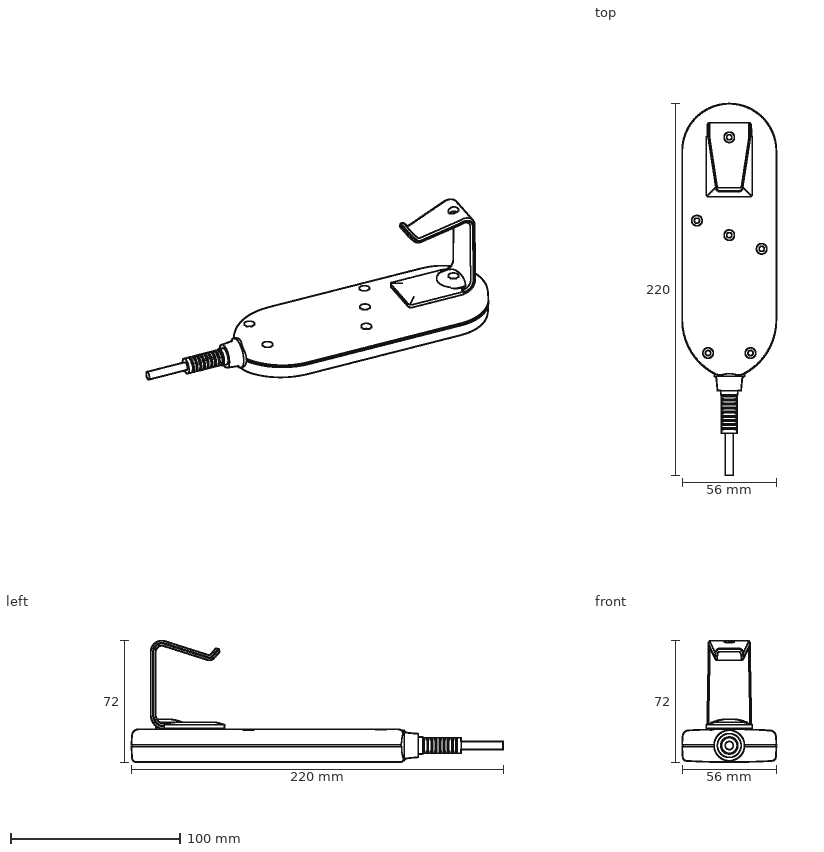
import cadquery as cq
import math


margin = 2.2

overall_length = 220.0
half_width = 28.0
housing_top = 9.7
housing_bottom = -10.0
straight_end_y = -100.4
nose_radius = 35.9
nose_tip_radius = 21.0
crown_radius = 440.2
side_draft = 3.0
top_edge_fillet = 4.0
bottom_edge_fillet = 2.6
seam_top = 0.5
seam_bottom = -0.9
seam_depth = 0.5

collar_start_y = -127.7
collar_end_y = -142.0
collar_root_radius = 7.7
collar_tip_radius = 7.0
collar_flare = 1.3
flare_end_y = -135.0
flange_radius = 5.0
flange_end_y = -144.4
sleeve_radius = 4.6
sleeve_end_y = -167.3
groove_radius = 3.3
groove_width = 0.9
groove_pitch = 2.5
groove_count = 9
first_groove_y = -145.0
cable_radius = 2.5
cable_end_y = half_width - overall_length

plate_half_width = 13.6
plate_front_y = -27.3
plate_back_y = 8.4
plate_base_z = 9.5
plate_top_z = 13.9
plate_bevel_width = 5.5
plate_bevel_height = 1.5
plate_corner_radius = 1.8
strip_thickness = 3.0
strip_bevel_width = 0.9
strip_bevel_height = 1.3
strip_foot_half_width = 13.2
strip_top_half_width = 12.3
foot_bend_radius = 6.8
crest_bend_radius = 5.0
hook_bend_radius = 2.2
long_edge_length = 22.0
upright_y = 15.0
upright_top_z = 55.5
foot_z = 11.2
foot_end_y = 7.7
arm_slope = 17.7
hook_slope = 49.0
hook_corner_y = -19.0
hook_tip_y = -23.8
hook_tip_half_width = 7.5
hook_corner_radius = 2.2
overall_top = 62.0
arm_taper_start_y = 6.5
arm_kink_radius = 11.0

dome_top = 15.8
dome_sphere_radius = 26.5
dome_radius = 10.5
dome_back_y = 13.5
bracket_screw_y = 8.0
screw_points = [(-19.1, -41.4), (0, -50.0), (19.1, -58.0), (-12.5, -119.7), (12.5, -119.7)]
counterbore_radius = 3.0
counterbore_depth = 4.0
screw_hole_radius = 1.5
screw_hole_depth = 6.5


def housing_outline(z, inset=0.0):
    """Plan outline: round tail, straight sides, and a nose of two large arcs joined by a tip arc."""
    side = half_width - inset
    flank_radius = nose_radius - inset
    tip_radius = nose_tip_radius - inset
    flank_x = half_width - nose_radius
    join_angle = math.acos(-flank_x / (nose_radius - nose_tip_radius))
    tip_center_y = straight_end_y - (nose_radius - nose_tip_radius) * math.sin(join_angle)

    def flank_point(angle):
        x = flank_x + flank_radius * math.cos(angle)
        return x, straight_end_y - flank_radius * math.sin(angle)

    mid_x, mid_y = flank_point(join_angle / 2)
    join_x, join_y = flank_point(join_angle)
    return (
        cq.Workplane("XY", origin=(0, 0, z))
        .moveTo(side, 0)
        .threePointArc((0, side), (-side, 0))
        .lineTo(-side, straight_end_y)
        .threePointArc((-mid_x, mid_y), (-join_x, join_y))
        .threePointArc((0, tip_center_y - tip_radius), (join_x, join_y))
        .threePointArc((mid_x, mid_y), (side, straight_end_y))
        .close()
    )


def crown_profile():
    """Cross-section bounded by the slightly domed top and bottom faces."""
    reach = half_width + margin
    sag = crown_radius - math.sqrt(crown_radius**2 - reach**2)
    return (
        cq.Workplane("XZ")
        .moveTo(-reach, housing_top - sag)
        .threePointArc((0, housing_top), (reach, housing_top - sag))
        .lineTo(reach, housing_bottom + sag)
        .threePointArc((0, housing_bottom), (-reach, housing_bottom + sag))
        .close()
        .extrude(overall_length, both=True)
    )


def make_housing():
    """Drafted upper and lower shells, parted by a shallow groove all round."""
    crown = crown_profile()
    upper = housing_outline(seam_top).extrude(housing_top, taper=side_draft)
    upper = upper.intersect(crown).faces(">Z").edges().fillet(top_edge_fillet)
    lower = housing_outline(seam_bottom).extrude(housing_bottom, taper=side_draft)
    lower = lower.intersect(crown).faces("<Z").edges().fillet(bottom_edge_fillet)
    core = housing_outline(seam_bottom, seam_depth).extrude(seam_top - seam_bottom)
    return upper.union(core).union(lower)


def cylinder_y(radius, start_y, end_y):
    """Cylinder on the cable axis, running toward -Y."""
    return cq.Workplane("XZ", origin=(0, start_y, 0)).circle(radius).extrude(start_y - end_y)


def make_collar():
    """Tapered collar that flares where it leaves the nose."""
    flare_radius = collar_root_radius + collar_flare
    return (
        cq.Workplane("XY")
        .moveTo(0, collar_start_y)
        .lineTo(flare_radius, collar_start_y)
        .lineTo(flare_radius, flare_end_y + collar_flare)
        .radiusArc((collar_root_radius, flare_end_y), -collar_flare)
        .lineTo(collar_tip_radius, collar_end_y)
        .lineTo(0, collar_end_y)
        .close()
        .revolve(360, (0, 0), (0, 1))
    )


def make_cable():
    """Ribbed strain-relief sleeve with the plain cable leaving it."""
    sleeve = cylinder_y(flange_radius, collar_end_y + margin, flange_end_y)
    sleeve = sleeve.union(cylinder_y(sleeve_radius, collar_end_y, sleeve_end_y))
    for i in range(groove_count):
        start_y = first_groove_y - i * groove_pitch + groove_width / 2
        end_y = start_y - groove_width
        ring = cylinder_y(2 * sleeve_radius, start_y, end_y)
        sleeve = sleeve.cut(ring.cut(cylinder_y(groove_radius, start_y, end_y)))
    return sleeve.union(cylinder_y(cable_radius, collar_end_y, cable_end_y))


def plate_block():
    """Plain rectangular blank of the bracket foot."""
    height = plate_top_z - plate_base_z
    length = plate_back_y - plate_front_y
    center = (0, (plate_front_y + plate_back_y) / 2, plate_base_z)
    return cq.Workplane("XY", origin=center).rect(2 * plate_half_width, length).extrude(height)


def make_plate():
    """Bracket foot with a bevelled top and an undercut rim; its back edge runs into the bent strip."""
    bevelled = plate_block().faces(">Z").edges("not >Y").chamfer(plate_bevel_height, plate_bevel_width)
    rounded = plate_block().edges("|Z and <Y").fillet(plate_corner_radius)
    rounded = rounded.faces("<Z").edges("not >Y").chamfer(strip_bevel_height, strip_bevel_width)
    return bevelled.intersect(rounded)


def strip_corners():
    """Corner points (y, z) of the strip's mid-surface before its bends are rounded."""
    slope = math.tan(math.radians(arm_slope))
    half_turn = math.radians((90 + arm_slope) / 2)
    crest_z = overall_top - strip_thickness / 2
    top_z = crest_z + crest_bend_radius * (math.tan(half_turn) - 1)
    hook_z = top_z - slope * (upright_y - hook_corner_y)
    tip_z = hook_z + (hook_corner_y - hook_tip_y) * math.tan(math.radians(hook_slope))
    return [
        cq.Vector(foot_end_y, foot_z),
        cq.Vector(upright_y, foot_z),
        cq.Vector(upright_y, top_z),
        cq.Vector(hook_corner_y, hook_z),
        cq.Vector(hook_tip_y, tip_z),
    ]


def strip_bends(offset):
    """Arcs (start, middle, end) of each bend on the strip face at this offset from the mid-surface."""
    points = strip_corners()
    bends = [(foot_bend_radius, 1), (crest_bend_radius, 1), (hook_bend_radius, -1)]
    arcs = []
    for i, (mid_radius, turn) in enumerate(bends, start=1):
        back = (points[i - 1] - points[i]).normalized()
        ahead = (points[i + 1] - points[i]).normalized()
        half_angle = back.getAngle(ahead) / 2
        bisector = (back + ahead).normalized()
        center = points[i] + bisector * (mid_radius / math.sin(half_angle))
        tangent_length = mid_radius / math.tan(half_angle)
        radius = mid_radius + turn * offset
        start = center + (points[i] + back * tangent_length - center) * (radius / mid_radius)
        end = center + (points[i] + ahead * tangent_length - center) * (radius / mid_radius)
        arcs.append((start, center - bisector * radius, end))
    return arcs


def strip_side_profile():
    """Closed strip outline in the YZ plane, with concentric bends and square ends."""
    points = strip_corners()
    half = strip_thickness / 2
    hook = (points[-1] - points[-2]).normalized()
    across_tip = cq.Vector(hook.y, -hook.x) * half
    profile = cq.Workplane("YZ").moveTo(foot_end_y, foot_z - half)
    for start, middle, end in strip_bends(half):
        profile = profile.lineTo(start.x, start.y).threePointArc((middle.x, middle.y), (end.x, end.y))
    for corner in (points[-1] + across_tip, points[-1] - across_tip):
        profile = profile.lineTo(corner.x, corner.y)
    for start, middle, end in reversed(strip_bends(-half)):
        profile = profile.lineTo(end.x, end.y).threePointArc((middle.x, middle.y), (start.x, start.y))
    return profile.lineTo(foot_end_y, foot_z + half).close()


def make_strip():
    """Bent strip: narrows up the upright, then tapers to the hook tip, with bevelled long edges."""
    strip = strip_side_profile().extrude(strip_foot_half_width, both=True)
    front_outline = (
        cq.Workplane("XZ")
        .polyline(
            [
                (-strip_foot_half_width, housing_top),
                (strip_foot_half_width, housing_top),
                (strip_top_half_width, upright_top_z),
                (strip_top_half_width, overall_top),
                (-strip_top_half_width, overall_top),
                (-strip_top_half_width, upright_top_z),
            ]
        )
        .close()
        .extrude(2 * half_width, both=True)
    )
    strip = strip.intersect(front_outline)
    tip_y = strip.val().BoundingBox().ymin
    mid_z = (foot_z + overall_top) / 2
    for side in (-1, 1):
        trim = (
            cq.Workplane("XY", origin=(0, 0, mid_z))
            .polyline(
                [
                    (side * strip_top_half_width, arm_taper_start_y),
                    (side * hook_tip_half_width, tip_y),
                    (side * hook_tip_half_width, tip_y - margin),
                    (side * half_width, tip_y - margin),
                    (side * half_width, arm_taper_start_y),
                ]
            )
            .close()
            .extrude(overall_top - mid_z)
        )
        strip = strip.cut(trim)

    def cross_edges(y):
        """Edges across the strip's thickness at the given y."""
        length_limit = strip_thickness + strip_bevel_width
        across = strip.edges("not |X").filter(lambda edge: edge.Length() < length_limit)
        return across.filter(lambda edge: math.isclose(edge.Center().y, y, abs_tol=0.1))

    strip = cross_edges(arm_taper_start_y).fillet(arm_kink_radius)
    strip = cross_edges(hook_tip_y).fillet(hook_corner_radius)
    long_edges = strip.edges("not |X").filter(lambda edge: edge.Length() > long_edge_length)
    return long_edges.chamfer(strip_bevel_height, strip_bevel_width)


def make_dome():
    """Shallow spherical cap around the bracket screw, ending inside the lower bend."""
    dome = cq.Workplane("XY", origin=(0, bracket_screw_y, plate_base_z)).circle(dome_radius)
    dome = dome.extrude(dome_top - plate_base_z)
    ball = cq.Workplane("XY", origin=(0, bracket_screw_y, dome_top - dome_sphere_radius))
    dome = dome.intersect(ball.sphere(dome_sphere_radius))
    behind = cq.Workplane("XZ", origin=(0, dome_back_y, 0)).rect(4 * half_width, 4 * half_width)
    return dome.cut(behind.extrude(-half_width))


def screw_hole(x, y, top_z):
    """Counterbored blind hole, open upward from top_z."""
    hole = cq.Workplane("XY", origin=(x, y, top_z)).circle(counterbore_radius)
    hole = hole.extrude(-counterbore_depth)
    pilot = cq.Workplane("XY", origin=(x, y, top_z)).circle(screw_hole_radius)
    return hole.union(pilot.extrude(-screw_hole_depth))


result = make_housing()
for piece in (make_collar(), make_cable(), make_plate(), make_strip(), make_dome()):
    result = result.union(piece)
for x, y in screw_points:
    result = result.cut(screw_hole(x, y, housing_top))
result = result.cut(screw_hole(0, bracket_screw_y, dome_top))

access = cq.Workplane("XY", origin=(0, bracket_screw_y, dome_top)).circle(counterbore_radius)
result = result.cut(access.extrude(overall_top - dome_top))